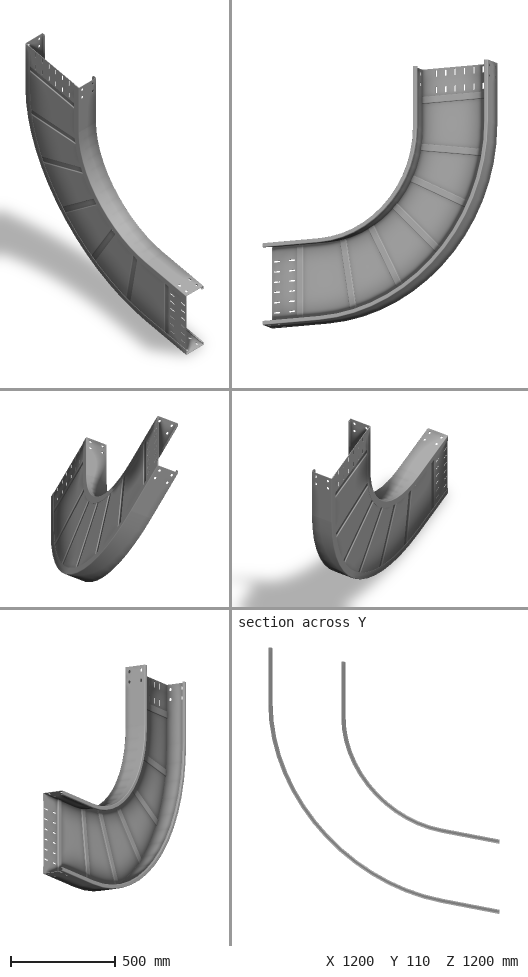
import cadquery as cq
import math

overall = 1200.0
tray_width = 400.0
tray_height = 110.0
straight_length = 300.0
sheet = 2.0
inner_bend = 1.5
outer_bend = inner_bend + sheet

bend_centre = overall - straight_length

flange_width = 35.0
lip_width = 20.0
lip_return = 10.0

floor_slot_length = 32.0
floor_slot_width = 7.0
floor_slot_count = 6
floor_slot_pitch = 50.0
floor_slot_end_distances = (25.0, 105.0)

web_slot_length = 16.0
web_slot_width = 11.0
web_slot_end_distances = (25.0, 75.0)
web_slot_row_spacing = 65.0

rib_width = 37.0
rib_depth = 6.0
rib_end_distance = 150.0
curve_rib_count = 5
curve_rib_step = 90.0 / curve_rib_count


def strip(near, far, bottom, top):
    """L-shaped curved strip between two distances from the outer edge and two Y levels."""
    mid = math.sqrt(0.5)
    near_radius = bend_centre - near
    far_radius = bend_centre - far
    near_mid = bend_centre - near_radius * mid
    far_mid = bend_centre - far_radius * mid
    return (
        cq.Workplane("XZ", origin=(0, bottom, 0))
        .moveTo(near, overall)
        .lineTo(near, bend_centre)
        .threePointArc((near_mid, near_mid), (bend_centre, near))
        .lineTo(overall, near)
        .lineTo(overall, far)
        .lineTo(bend_centre, far)
        .threePointArc((far_mid, far_mid), (far, bend_centre))
        .lineTo(far, overall)
        .close()
        .extrude(bottom - top)
    )


def web_slots(web_distance):
    """Cutters for the slots at both ends of the web at this distance from the outer edge."""
    along = [overall - distance for distance in web_slot_end_distances]
    across = [tray_height / 2 + side * web_slot_row_spacing / 2 for side in (-1, 1)]
    upright = (
        cq.Workplane("YZ", origin=(web_distance, 0, 0))
        .pushPoints([(y, z) for y in across for z in along])
        .slot2D(web_slot_length, web_slot_width, 90)
        .extrude(sheet)
    )
    level = (
        cq.Workplane("XY", origin=(0, 0, web_distance))
        .pushPoints([(x, y) for y in across for x in along])
        .slot2D(web_slot_length, web_slot_width)
        .extrude(sheet)
    )
    return upright.union(level)


def rail_path(distance):
    """Centre path of the tray bend at this distance from the outer edge."""
    mid = bend_centre - (bend_centre - distance) * math.sqrt(0.5)
    return (
        cq.Workplane("XZ")
        .moveTo(distance, overall)
        .lineTo(distance, bend_centre)
        .threePointArc((mid, mid), (bend_centre, distance))
        .lineTo(overall, distance)
    )


def side_rail(outer_face, inward):
    """Bent sheet rail whose flange and lip turn from its outer face towards the tray middle."""
    def point(depth, height):
        return (outer_face + inward * depth, height)

    top = tray_height
    outside = inward * outer_bend
    inside = inward * inner_bend
    profile = (
        cq.Workplane("XY", origin=(0, 0, overall))
        .moveTo(*point(flange_width, 0))
        .lineTo(*point(outer_bend, 0))
        .radiusArc(point(0, outer_bend), outside)
        .lineTo(*point(0, top - outer_bend))
        .radiusArc(point(outer_bend, top), outside)
        .lineTo(*point(lip_width - outer_bend, top))
        .radiusArc(point(lip_width, top - outer_bend), outside)
        .lineTo(*point(lip_width, top - lip_return))
        .lineTo(*point(lip_width - sheet, top - lip_return))
        .lineTo(*point(lip_width - sheet, top - outer_bend))
        .radiusArc(point(lip_width - outer_bend, top - sheet), -inside)
        .lineTo(*point(outer_bend, top - sheet))
        .radiusArc(point(sheet, top - outer_bend), -inside)
        .lineTo(*point(sheet, outer_bend))
        .radiusArc(point(outer_bend, sheet), -inside)
        .lineTo(*point(flange_width, sheet))
        .close()
    )
    web_distance = min(outer_face, outer_face + inward * sheet)
    return profile.sweep(rail_path(outer_face)).cut(web_slots(web_distance))


def rib_prism(plane, foot_radius):
    """Flat-topped bar one rib depth high, with concave feet and rounded top edges."""
    foot = rib_width / 2
    wall = foot - foot_radius
    top_radius = inner_bend + outer_bend - foot_radius
    crown = wall - top_radius
    shoulder = rib_depth - top_radius
    return (
        cq.Workplane(plane)
        .moveTo(-foot, -sheet)
        .lineTo(-foot, 0)
        .radiusArc((-wall, foot_radius), -foot_radius)
        .lineTo(-wall, shoulder)
        .radiusArc((-crown, rib_depth), top_radius)
        .lineTo(crown, rib_depth)
        .radiusArc((wall, shoulder), top_radius)
        .lineTo(wall, foot_radius)
        .radiusArc((foot, 0), -foot_radius)
        .lineTo(foot, -sheet)
        .close()
        .extrude(overall)
    )


def rib_planes(level):
    """Section planes of all ribs, local Y along global Y and normal along the rib."""
    rib_line = overall - rib_end_distance
    planes = [
        cq.Plane((0, level, rib_line), xDir=(0, 0, -1), normal=(1, 0, 0)),
        cq.Plane((rib_line, level, 0), xDir=(1, 0, 0), normal=(0, 0, 1)),
    ]
    for index in range(curve_rib_count):
        angle = math.radians(curve_rib_step * (index + 0.5))
        outward = (-math.cos(angle), 0, -math.sin(angle))
        tangent = (-math.sin(angle), 0, math.cos(angle))
        planes.append(cq.Plane((bend_centre, level, bend_centre), xDir=tangent, normal=outward))
    return planes


def floor_slots():
    """Cutters for the slots at both ends of the floor plate."""
    first = tray_width / 2 - floor_slot_pitch * (floor_slot_count - 1) / 2
    across = [first + index * floor_slot_pitch for index in range(floor_slot_count)]
    along = [overall - distance for distance in floor_slot_end_distances]
    upright = (
        cq.Workplane("XZ")
        .pushPoints([(x, z) for x in across for z in along])
        .slot2D(floor_slot_length, floor_slot_width, 90)
        .extrude(-tray_height)
    )
    level = (
        cq.Workplane("XZ")
        .pushPoints([(x, z) for x in along for z in across])
        .slot2D(floor_slot_length, floor_slot_width)
        .extrude(-tray_height)
    )
    return upright.union(level)


def floor_plate():
    """Ribbed floor plate lying on the rail flanges, between the rail webs."""
    near = outer_bend
    far = tray_width - outer_bend
    plate = strip(near, far, sheet, 2 * sheet)
    rib_space = strip(near, far, sheet, tray_height)
    for plane in rib_planes(2 * sheet):
        plate = plate.union(rib_prism(plane, inner_bend).intersect(rib_space))
    for plane in rib_planes(sheet):
        plate = plate.cut(rib_prism(plane, outer_bend))
    return plate.cut(floor_slots())


outer_rail = side_rail(0, 1)
inner_rail = side_rail(tray_width, -1)
floor = floor_plate()

result = cq.Compound.makeCompound([outer_rail.val(), inner_rail.val(), floor.val()])